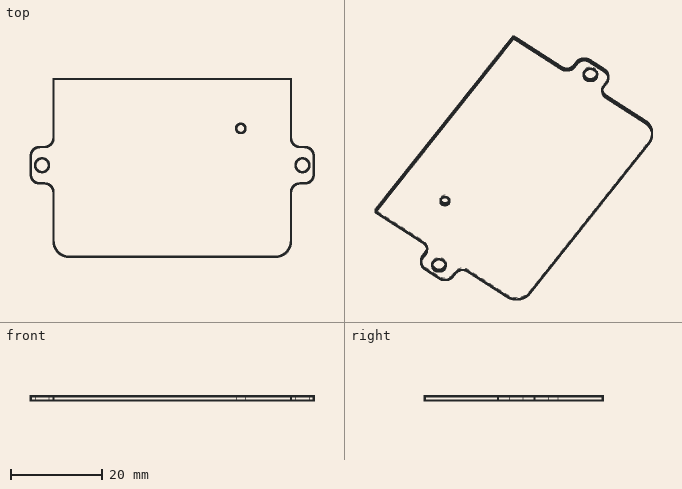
import cadquery as cq

overall_width = 62.0
plate_width = 52.0
plate_depth = 39.0
thickness = 1.0
front_corner_radius = 3.5

tab_width = 8.0
tab_radius = 2.0
tab_hole_diameter = 3.0
front_edge_to_tab = 20.1

small_hole_diameter = 2.0
small_hole_x = 15.0
front_edge_to_small_hole = 28.15

front_y = -plate_depth / 2
tab_y = front_y + front_edge_to_tab
tab_length = (overall_width - plate_width) / 2
tab_hole_x = (plate_width + tab_length) / 2


def make_plate():
    """Flat plate with its two front corners rounded."""
    plate = cq.Workplane("XY").rect(plate_width, plate_depth).extrude(thickness)
    return plate.edges("|Z and <Y").fillet(front_corner_radius)


def add_tabs(body):
    """Bar across the plate whose ends form the rounded tabs, filleted where they leave the plate."""
    bar = (
        cq.Workplane("XY")
        .center(0, tab_y)
        .rect(overall_width, tab_width)
        .extrude(thickness)
        .edges("|Z")
        .fillet(tab_radius)
    )
    root_corners = [
        (side * plate_width / 2, tab_y + end * tab_width / 2, thickness / 2)
        for side in (-1, 1)
        for end in (-1, 1)
    ]
    body = body.union(bar)
    for corner in root_corners:
        root_edge = body.edges("|Z").edges(cq.selectors.NearestToPointSelector(corner))
        body = root_edge.fillet(tab_radius)
    return body


def cut_hole(body, x, y, diameter):
    """Plain hole through the full thickness."""
    drill = cq.Workplane("XY").center(x, y).circle(diameter / 2).extrude(thickness)
    return body.cut(drill)


result = add_tabs(make_plate())
for side in (-1, 1):
    result = cut_hole(result, side * tab_hole_x, tab_y, tab_hole_diameter)
result = cut_hole(result, small_hole_x, front_y + front_edge_to_small_hole, small_hole_diameter)